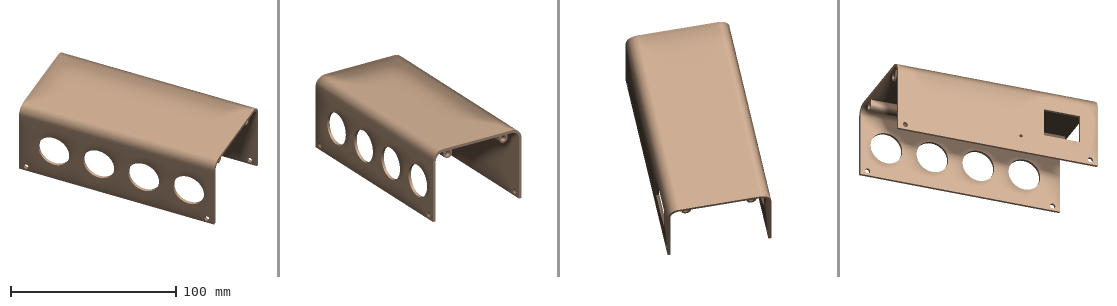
import cadquery as cq

length = 130.2
width = 64.0
height = 46.9
sheet = 1.8
bend_radius = 6.9

opening_diameter = 20.5
opening_count = 4
opening_pitch = 29.9
first_opening_x = 23.3
opening_z = 21.1

fixing_diameter = 3.3
fixing_inset = 4.8
fixing_z = 3.1

window_left = 11.5
window_width = 2 * (first_opening_x - window_left)
window_bottom = 14.0
window_top = 31.9

side_hole_diameter = 2.0
side_hole_x = 50.0
side_hole_z = 10.5

rail_width = 6.0
rail_setback = 2.0
rail_length = length - 2 * rail_setback
rail_hole_diameter = 3.8
rail_spacing = 40.3
rail_drop = 4.8

front_y = -width / 2
back_y = width / 2


def make_shell():
    outer = (
        cq.Workplane("XY")
        .box(length, width, height, centered=(False, True, False))
        .edges("|X and >Z")
        .fillet(bend_radius)
    )
    inner = (
        cq.Workplane("XY")
        .box(length, width - 2 * sheet, height - sheet, centered=(False, True, False))
        .edges("|X and >Z")
        .fillet(bend_radius - sheet)
    )
    return outer.cut(inner)


def make_rail(y):
    """Round-bottomed rail joined to the roof, bored along X."""
    axis_z = height - rail_drop
    stem_height = rail_drop - sheet / 2
    section = cq.Workplane("YZ", origin=(rail_setback, y, axis_z))
    stem = section.center(0, stem_height / 2).rect(rail_width, stem_height).extrude(rail_length)
    barrel = section.circle(rail_width / 2).extrude(rail_length)
    bore = section.circle(rail_hole_diameter / 2).extrude(rail_length)
    return stem.union(barrel).cut(bore)


def drill_along_y(x, z, diameter, start_y, depth):
    """Cylinder running from start_y toward +Y."""
    plane = cq.Workplane("XZ", origin=(x, start_y, z))
    return plane.circle(diameter / 2).extrude(-depth)


result = make_shell()

for y in (-rail_spacing / 2, rail_spacing / 2):
    result = result.union(make_rail(y))

for index in range(opening_count):
    opening_x = first_opening_x + index * opening_pitch
    result = result.cut(drill_along_y(opening_x, opening_z, opening_diameter, front_y, sheet))

for x in (fixing_inset, length - fixing_inset):
    result = result.cut(drill_along_y(x, fixing_z, fixing_diameter, front_y, width))

window = cq.Workplane("XY").box(window_width, sheet, window_top - window_bottom, centered=False)
result = result.cut(window.translate((window_left, back_y - sheet, window_bottom)))

result = result.cut(drill_along_y(side_hole_x, side_hole_z, side_hole_diameter, back_y - sheet, sheet))